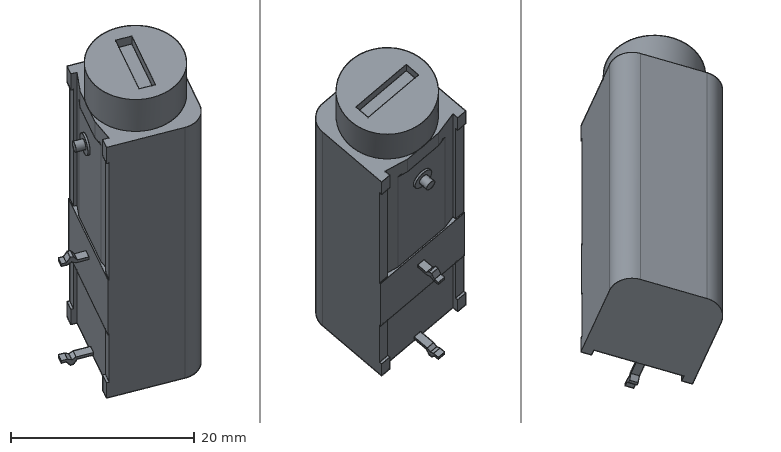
import cadquery as cq


housing_width = 13.0
housing_height = 39.75
back_y = 6.1
back_corner_radius = 2.6
rail_y = -5.32
channel_width = 10.45
channel_floor_y = -4.9

block_y = -5.65
top_block_height = 2.55
bottom_block_height = 2.45
rail_width = (housing_width - channel_width) / 2

band_y = -5.45
band_bottom = 9.95
band_top = 18.68

ridge_y = -5.55
ridge_flat_width = 4.8
panel_width = 7.2
flank_run = (channel_width - ridge_flat_width) / 2
flank_fraction = (channel_width - panel_width) / 2 / flank_run
panel_y = channel_floor_y + flank_fraction * (ridge_y - channel_floor_y)
panel_top = housing_height - top_block_height

cap_radius = 5.6
cap_height = 5.05
slot_length = 7.75
slot_width = 1.9
slot_depth = 1.25

contact_x = -0.25
button_z = 33.6
flange_radius = 1.285
flange_back_y = -5.6
flange_thickness = 0.25
stem_radius = 0.65
stem_end_y = -7.0

leg_width = 1.0
leg_thickness = 0.4
leg_tip_y = -8.65
kink_start_y = -6.8
kink_end_y = -8.07
kink_flat = 0.35
kink_rise = 0.68
notch_inset = 0.15
upper_leg_z = 15.7 + leg_thickness / 2
lower_leg_z = 0.35 + leg_thickness / 2


def front_block(x, width, y_front, y_back, z_bottom, z_top):
    """Box centred on x, between two depths and two heights."""
    return cq.Workplane("XY").box(
        width, y_back - y_front, z_top - z_bottom, centered=(True, False, False)
    ).translate((x, y_front, z_bottom))


def make_shell():
    """Main block with rounded back corners and a channel down the front."""
    block = front_block(0, housing_width, rail_y, back_y, 0, housing_height)
    block = block.edges("|Z and >Y").fillet(back_corner_radius)
    channel = front_block(0, channel_width, rail_y, channel_floor_y, 0, housing_height)
    return block.cut(channel)


def make_ridge():
    """Trapezoidal ridge in the channel, flattened over the panel."""
    ridge = (
        cq.Workplane("XY").workplane(offset=band_top)
        .moveTo(-channel_width / 2, channel_floor_y)
        .lineTo(-ridge_flat_width / 2, ridge_y)
        .lineTo(ridge_flat_width / 2, ridge_y)
        .lineTo(channel_width / 2, channel_floor_y)
        .close()
        .extrude(housing_height - band_top)
    )
    return ridge.cut(front_block(0, panel_width, ridge_y, panel_y, band_top, panel_top))


def make_cap():
    """Round cap on top with a blind slot along X."""
    cap = cq.Workplane("XY").workplane(offset=housing_height).circle(cap_radius).extrude(cap_height)
    return cap.faces(">Z").workplane().rect(slot_length, slot_width).cutBlind(-slot_depth)


def make_leg(z, bend):
    """Flat strip running forward, kinked up (bend = 1) or down (bend = -1)."""
    half = leg_thickness / 2
    middle_y = (kink_start_y + kink_end_y) / 2
    crest_back_y = middle_y + kink_flat / 2
    crest_front_y = middle_y - kink_flat / 2
    inner_rise = kink_rise - leg_thickness
    profile = [
        (channel_floor_y, half),
        (kink_start_y, half),
        (crest_back_y, half + kink_rise),
        (crest_front_y, half + kink_rise),
        (kink_end_y, half),
        (leg_tip_y, half),
        (leg_tip_y, -half),
        (kink_end_y + notch_inset, -half),
        (middle_y, -half + inner_rise),
        (kink_start_y - notch_inset, -half),
        (channel_floor_y, -half),
    ]
    points = [(y, z + bend * height) for y, height in profile]
    strip = cq.Workplane("YZ").polyline(points).close().extrude(leg_width / 2, both=True)
    return strip.translate((contact_x, 0, 0))


def make_housing():
    """Shell with its front details and the two bent legs."""
    housing = make_shell().union(make_ridge())
    housing = housing.union(
        front_block(0, housing_width, band_y, channel_floor_y, band_bottom, band_top)
    )
    rail_x = (channel_width + rail_width) / 2
    for x in (-rail_x, rail_x):
        housing = housing.union(front_block(x, rail_width, block_y, rail_y, 0, bottom_block_height))
        housing = housing.union(front_block(x, rail_width, block_y, rail_y, panel_top, housing_height))
    housing = housing.union(make_leg(upper_leg_z, 1))
    return housing.union(make_leg(lower_leg_z, -1))


def make_button():
    """Round flange with a stem pointing forward, standing clear of the panel."""
    flange_front_y = flange_back_y - flange_thickness
    flange = (
        cq.Workplane("XZ", origin=(contact_x, flange_back_y, button_z))
        .circle(flange_radius).extrude(flange_thickness)
    )
    stem = (
        cq.Workplane("XZ", origin=(contact_x, flange_front_y, button_z))
        .circle(stem_radius).extrude(flange_front_y - stem_end_y)
    )
    return flange.union(stem)


housing = make_housing()
cap = make_cap()
button = make_button()
result = cq.Compound.makeCompound([housing.val(), cap.val(), button.val()])